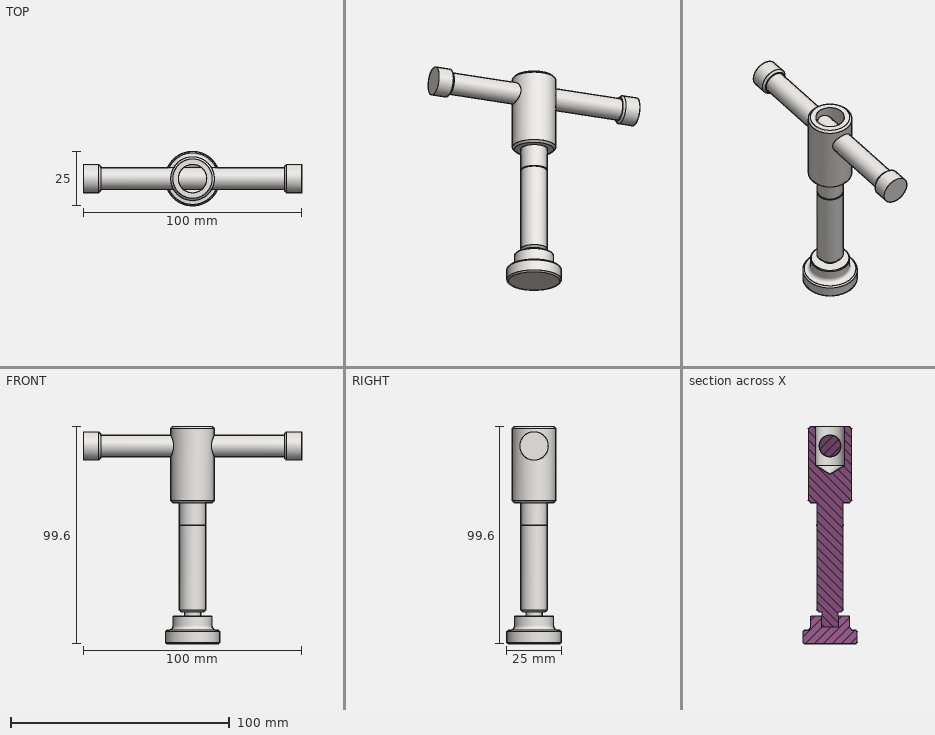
import cadquery as cq
import math

foot_radius = 12.5
foot_flange_height = 6.3
foot_hub_radius = 9.0
foot_height = 12.9
foot_cove_radius = 2.0
foot_flange_chamfer = 0.7
foot_hub_chamfer = 0.4

neck_radius = 3.8
neck_depth = 5.0
shank_radius = 6.1
shank_bottom = 14.6
shank_chamfer = 1.0
groove_top = 54.4
groove_width = 0.3
groove_depth = 0.2
head_radius = 10.0
head_length = 35.0
head_top = 99.6
head_bottom = head_top - head_length
head_chamfer = 1.0
bore_radius = 6.5
bore_tip_angle = 118.0

handle_length = 100.0
handle_radius = 5.0
handle_drop = 9.0
handle_height = head_top - handle_drop
knob_radius = 6.5
knob_length = 8.0
knob_chamfer = 1.0
bore_depth = 2 * handle_drop


def cylinder_z(radius, bottom, top):
    """Upright cylinder on the Z axis."""
    return cq.Workplane("XY").workplane(offset=bottom).circle(radius).extrude(top - bottom)


def cylinder_x(radius, start, end):
    """Cylinder along X on the handle axis."""
    plane = cq.Workplane("YZ", origin=(start, 0, handle_height))
    return plane.circle(radius).extrude(end - start)


def make_foot():
    flange = cylinder_z(foot_radius, 0, foot_flange_height).edges().chamfer(foot_flange_chamfer)
    hub = cylinder_z(foot_hub_radius, foot_flange_height, foot_height)
    hub = hub.faces(">Z").edges().chamfer(foot_hub_chamfer)
    cove_outer = foot_hub_radius + foot_cove_radius
    cove_top = foot_flange_height + foot_cove_radius
    ring = cylinder_z(cove_outer, foot_flange_height, cove_top)
    hollow = cq.Workplane(cq.Solid.makeTorus(cove_outer, foot_cove_radius, cq.Vector(0, 0, cove_top)))
    socket = cylinder_z(neck_radius, foot_height - neck_depth, foot_height)
    return flange.union(hub).union(ring.cut(hollow)).cut(socket)


def make_bore():
    """Blind bore in the head, ending in a conical drill point."""
    wall_bottom = head_top - bore_depth
    tip_depth = bore_radius / math.tan(math.radians(bore_tip_angle / 2))
    profile = cq.Workplane("XZ").moveTo(0, head_top).lineTo(bore_radius, head_top)
    profile = profile.lineTo(bore_radius, wall_bottom).lineTo(0, wall_bottom - tip_depth).close()
    return profile.revolve(360, (0, 0), (0, 1))


def make_spindle():
    neck = cylinder_z(neck_radius, foot_height - neck_depth, shank_bottom)
    shank = cylinder_z(shank_radius, shank_bottom, head_bottom)
    shank = shank.faces("<Z").edges().chamfer(shank_chamfer)
    head = cylinder_z(head_radius, head_bottom, head_top).edges().chamfer(head_chamfer)

    groove_bottom = groove_top - groove_width
    groove = cylinder_z(shank_radius, groove_bottom, groove_top)
    groove = groove.cut(cylinder_z(shank_radius - groove_depth, groove_bottom, groove_top))
    bore = make_bore()
    cross_hole = cylinder_x(handle_radius, -head_radius, head_radius)
    return neck.union(shank).union(head).cut(groove).cut(bore).cut(cross_hole)


def make_handle():
    end = handle_length / 2
    handle = cylinder_x(handle_radius, -end, end)
    left_knob = cylinder_x(knob_radius, -end, knob_length - end).faces(">X").edges().chamfer(knob_chamfer)
    right_knob = left_knob.mirror("YZ")
    return handle.union(left_knob).union(right_knob)


foot = make_foot()
spindle = make_spindle()
handle = make_handle()

result = cq.Compound.makeCompound([foot.val(), spindle.val(), handle.val()])